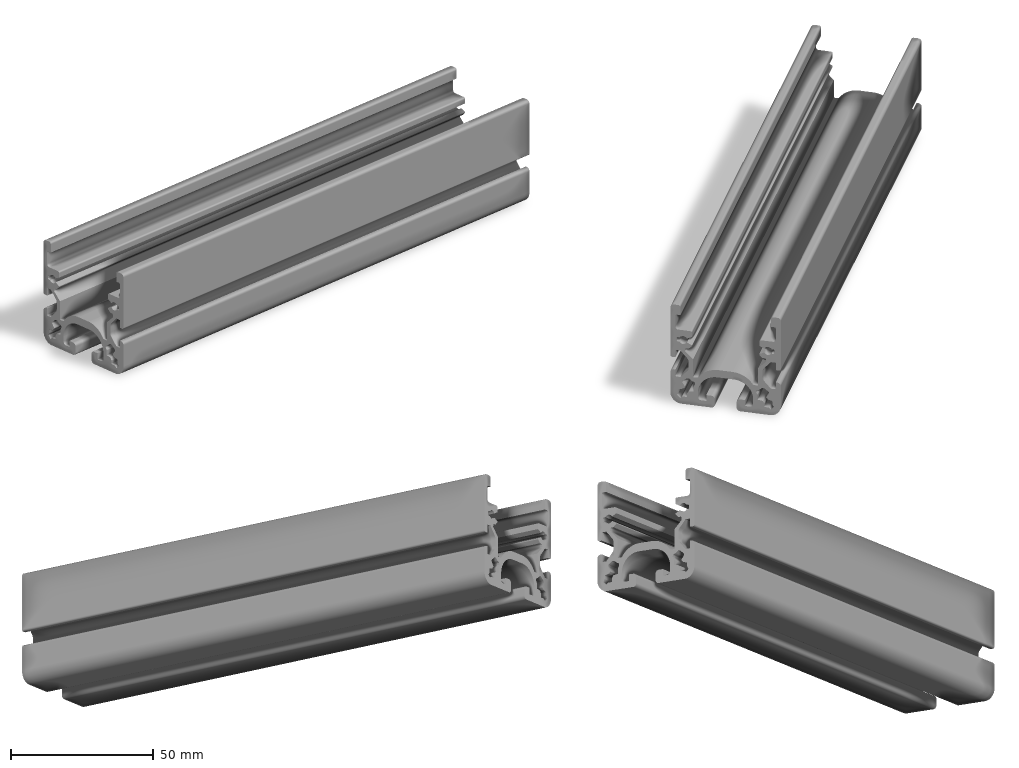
import cadquery as cq
import math

length = 200.0
width = 40.0
height = 40.0
side = width / 2

wall_inner = side - 1.8
corner_radius = 4.0
tip_outer_radius = 1.2
tip_inner_radius = 0.8
tip_hook_inner = side - 3.5
tip_hook_bottom = height - 4.0
tip_hook_fillet = 0.5

shelf_top = 30.0
shelf_inner = 12.2
shelf_fillet = 1.0
shelf_end_radius = 0.5
shelf_lower_edge = 24.0
shelf_lower_edge_radius = 0.2
undercut_inner = 13.5
undercut_outer = 14.5
undercut_root = 14.8
undercut_top = 22.8
undercut_bottom = 21.5
undercut_radius = 0.5

slot_z = 16.2
slot_upper_lip = slot_z + 2.5
slot_lower_lip = slot_z - 2.5
slot_upper_lip_radius = 0.5
slot_lower_lip_radius = 1.2
slot_top = slot_z + 5.5
slot_bottom = slot_z - 5.5
slot_floor = 13.5
slot_floor_half = 2.0
slot_floor_radius = 2.2
slot_slope_end = 16.5
slot_bottom_fillet = 0.5

channel_wall = 11.8
channel_wall_top = 18.5
channel_floor = 11.5
arch_foot = 10.0
arch_foot_fillet = 0.5
arch_shoulder = 7.0
arch_top = 15.5
arch_outer_radius = 8.5

cavity_half = 10.0
cavity_top = 12.5
cavity_top_radius = 7.0
cavity_floor = 2.5
cavity_fillet = 1.2
bottom_lip_outer = 7.0
bottom_lip_inner = 4.0
bottom_lip_top = 4.8
bottom_lip_radius = 1.2

port_x = 15.5
port_z = 26.0
port_radius = 1.5
port_back = 17.8
port_back_half = 0.9
port_back_radius = 0.5
port_throat = 14.0
port_throat_half = 0.8
port_mouth_half = 1.7

corner_port_outline = [
    (14.0, 10.5, 0.3),
    (13.2, 10.5, 0.3),
    (12.2, 9.8, 0.5),
    (11.2, 9.5, 0.3),
    (11.0, 8.5, 0.3),
    (11.5, 7.5, 0.5),
    (11.5, 5.5, 0),
    (13.5, 5.5, 0.5),
    (14.0, 4.5, 0.5),
    (14.0, 3.0, 0.2),
    (15.8, 3.0, 0.5),
    (16.5, 2.2, 0),
    (17.5, 3.5, 0),
    (17.0, 4.5, 0.5),
    (17.0, 5.8, 0.5),
    (15.5, 6.2, 0.2),
    (14.5, 7.0, 0.5),
    (15.8, 8.8, 0.5),
    (15.5, 9.5, 0.2),
]


def mirrored(points):
    """Corners (x, z, radius) reflected in the middle plane, in reverse order."""
    return [(-x, z, r) for x, z, r in reversed(points)]


def rounded_prism(corners):
    """Extrude a closed outline of (x, z, corner radius) along the full length."""
    outline = cq.Workplane("XZ", origin=(0, length / 2, 0))
    started = False
    for i, (x, z, radius) in enumerate(corners):
        corner = cq.Vector(x, z)
        before = cq.Vector(*corners[i - 1][:2])
        after = cq.Vector(*corners[(i + 1) % len(corners)][:2])
        to_before = (before - corner).normalized()
        to_after = (after - corner).normalized()
        half_angle = to_before.getAngle(to_after) / 2
        setback = radius / math.tan(half_angle)
        start = corner + to_before * setback
        if started:
            outline = outline.lineTo(start.x, start.y)
        else:
            outline = outline.moveTo(start.x, start.y)
            started = True
        if radius > 0:
            bisector = (to_before + to_after).normalized()
            middle = corner + bisector * (radius / math.sin(half_angle) - radius)
            end = corner + to_after * setback
            outline = outline.threePointArc((middle.x, middle.y), (end.x, end.y))
    return outline.close().extrude(length)


def profile_body():
    """The whole extrusion without its screw ports."""
    right_half = [
        (arch_shoulder, arch_top, arch_outer_radius),
        (arch_foot, channel_floor, arch_foot_fillet),
        (channel_wall, channel_floor, 0),
        (channel_wall, channel_wall_top, 0),
        (undercut_root, undercut_bottom, undercut_radius),
        (undercut_outer, undercut_top, undercut_radius),
        (undercut_inner, undercut_top, 0),
        (shelf_inner, shelf_lower_edge, shelf_lower_edge_radius),
        (shelf_inner, shelf_top, shelf_end_radius),
        (wall_inner, shelf_top, shelf_fillet),
        (wall_inner, tip_hook_bottom, tip_hook_fillet),
        (tip_hook_inner, tip_hook_bottom, 0),
        (tip_hook_inner, height, tip_inner_radius),
        (side, height, tip_outer_radius),
        (side, slot_upper_lip, slot_upper_lip_radius),
        (wall_inner, slot_upper_lip, 0),
        (wall_inner, slot_top, 0),
        (slot_slope_end, slot_top, 0),
        (slot_floor, slot_z + slot_floor_half, slot_floor_radius),
        (slot_floor, slot_z - slot_floor_half, slot_floor_radius),
        (slot_slope_end, slot_bottom, 0),
        (wall_inner, slot_bottom, slot_bottom_fillet),
        (wall_inner, slot_lower_lip, 0),
        (side, slot_lower_lip, slot_lower_lip_radius),
        (side, 0, corner_radius),
        (bottom_lip_inner, 0, bottom_lip_radius),
        (bottom_lip_inner, bottom_lip_top, bottom_lip_radius),
        (bottom_lip_outer, bottom_lip_top, 0),
        (bottom_lip_outer, cavity_floor, 0),
        (cavity_half, cavity_floor, cavity_fillet),
        (cavity_half, cavity_top, cavity_top_radius),
    ]
    return rounded_prism(right_half + mirrored(right_half))


def shelf_port():
    """Screw port of the right shelf, open to the channel."""
    upper = [
        (port_back, port_z + port_back_half, port_back_radius),
        (port_x, port_z + port_back_half, 0),
        (port_throat, port_z + port_throat_half, 0),
        (shelf_inner, port_z + port_mouth_half, 0),
    ]
    lower = [(x, 2 * port_z - z, r) for x, z, r in reversed(upper)]
    bore = (
        cq.Workplane("XZ", origin=(0, length / 2, 0))
        .center(port_x, port_z)
        .circle(port_radius)
        .extrude(length)
    )
    return rounded_prism(upper + lower).union(bore)


ports = shelf_port().union(rounded_prism(corner_port_outline))
result = profile_body().cut(ports).cut(ports.mirror("YZ"))